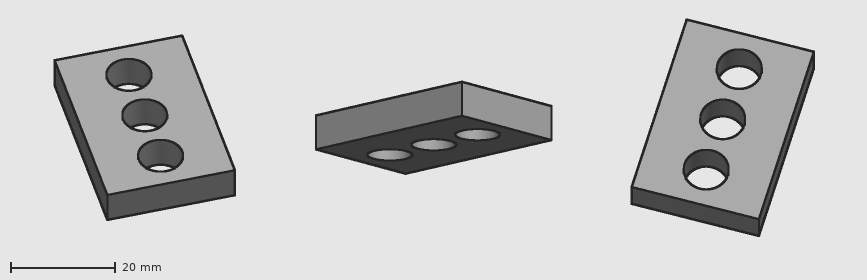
import cadquery as cq

plate_length = 38.1
plate_width = 25.4
plate_thickness = 6.75

hole_diameter = 8.64
hole_pitch = 11.43
hole_count = 3


def make_plate():
    """Rectangular plate centred on X and Y, resting on Z = 0."""
    return cq.Workplane("XY").box(
        plate_length, plate_width, plate_thickness, centered=(True, True, False)
    )


def drill_hole_row(plate):
    """Drill the evenly spaced holes through the full plate thickness."""
    return (
        plate.faces(">Z")
        .workplane()
        .rarray(hole_pitch, plate_width, hole_count, 1)
        .hole(hole_diameter)
    )


result = drill_hole_row(make_plate())